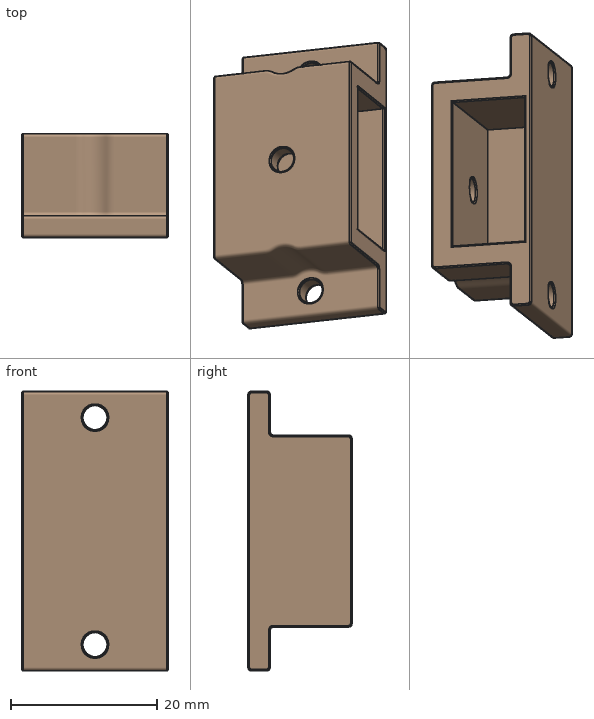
import cadquery as cq

width = 20.0
depth = 14.2
flange_height = 38.2
flange_thickness = 3.0
box_height = 26.2

front_wall = 1.0
box_wall = 3.0

hole_diameter = 3.32
screw_spacing = 31.0

groove_radius = 3.1
groove_blend_radius = 2.2

edge_radius = 0.5
edge_chamfer = 0.2

overshoot = 0.4
selection_margin = 0.2

screw_heights = (-screw_spacing / 2, screw_spacing / 2)


def y_cylinder(diameter, y_start, y_end, z):
    """Cylinder along Y, centred on X = 0."""
    return (
        cq.Workplane("XZ", origin=(0, y_start, z))
        .circle(diameter / 2)
        .extrude(y_start - y_end)
    )


def chamfered_hole(y_start, y_end, z):
    """Cutting body for a hole from y_start to y_end, chamfered at both mouths."""
    mouth_diameter = hole_diameter + 2 * edge_chamfer
    hole = y_cylinder(hole_diameter, y_start, y_end, z)
    for y_face, inward in ((y_start, 1), (y_end, -1)):
        cone = cq.Solid.makeCone(
            mouth_diameter / 2,
            hole_diameter / 2,
            edge_chamfer,
            cq.Vector(0, y_face, z),
            cq.Vector(0, inward, 0),
        )
        hole = hole.union(cq.Workplane(cone))
    return hole


def grooved_box():
    """Box with the two screw head grooves, their rims blended into the flat faces."""
    box = cq.Workplane().box(width, depth, box_height, centered=(True, False, True))
    for z in screw_heights:
        box = box.cut(y_cylinder(2 * groove_radius, -overshoot, depth + overshoot, z))
    rims = cq.selectors.BoxSelector(
        (-groove_radius, -overshoot, -box_height),
        (groove_radius, depth + overshoot, box_height),
    )
    return box.edges("|Y").edges(rims).fillet(groove_blend_radius)


def rounded_body():
    """Flange and box joined, with rounded outer edges and a rounded inner corner."""
    flange = cq.Workplane().box(
        width, flange_thickness, flange_height, centered=(True, False, True)
    )
    body = flange.union(grooved_box())

    body = body.faces("<Z or >Z").edges("|X").fillet(edge_radius)

    body = body.faces(">Y").edges("not |Z").fillet(edge_radius)

    corner = cq.selectors.BoxSelector(
        (-width, flange_thickness - selection_margin, -box_height / 2 - selection_margin),
        (width, flange_thickness + selection_margin, box_height / 2 + selection_margin),
    )
    body = body.edges(corner).edges("not |Y").fillet(edge_radius)

    return body.faces("<X or >X").chamfer(edge_chamfer)


def pocket():
    """Cutting body for the pocket, flared by a chamfer at its mouth."""
    pocket_width = width - box_wall
    pocket_depth = depth - front_wall - box_wall
    pocket_height = box_height - 2 * box_wall
    pocket_middle = front_wall + pocket_depth / 2

    mouth_plane = cq.Workplane("YZ", origin=(-width / 2, pocket_middle, 0))
    cavity = mouth_plane.rect(pocket_depth, pocket_height).extrude(pocket_width)
    flare = (
        mouth_plane.rect(pocket_depth + 2 * edge_chamfer, pocket_height + 2 * edge_chamfer)
        .workplane(offset=edge_chamfer)
        .rect(pocket_depth, pocket_height)
        .loft(ruled=True)
    )
    return cavity.union(flare)


result = rounded_body().cut(pocket())
for z in screw_heights:
    result = result.cut(chamfered_hole(0, flange_thickness, z))
result = result.cut(chamfered_hole(depth - box_wall, depth, 0))